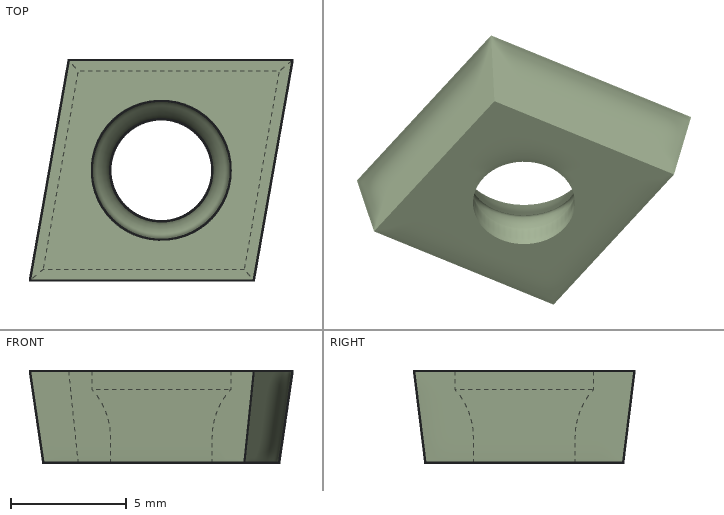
import cadquery as cq
import math

inscribed_diameter = 9.525
thickness = 3.97
corner_angle = math.radians(80)
relief_angle_deg = 7

mouth_diameter = 6.0
bore_diameter = 4.4
mouth_depth = 0.8
seat_radius = 3.0

side_length = inscribed_diameter / math.sin(corner_angle)
half_height = inscribed_diameter / 2
half_lean = half_height / math.tan(corner_angle)


def make_body():
    """Rhombic block that narrows downwards by the relief angle on all four sides."""
    half_side = side_length / 2
    outline = [
        (-half_side - half_lean, -half_height),
        (half_side - half_lean, -half_height),
        (half_side + half_lean, half_height),
        (-half_side + half_lean, half_height),
    ]
    return (
        cq.Workplane("XY", origin=(0, 0, thickness))
        .polyline(outline)
        .close()
        .extrude(-thickness, taper=relief_angle_deg)
    )


def make_screw_hole():
    """Revolved hole whose seat bulges inwards and runs tangent into the bore."""
    mouth_radius = mouth_diameter / 2
    bore_radius = bore_diameter / 2
    mouth_bottom = thickness - mouth_depth
    arc_centre_reach = seat_radius - (mouth_radius - bore_radius)
    seat_height = math.sqrt(seat_radius**2 - arc_centre_reach**2)
    seat_bottom = mouth_bottom - seat_height
    return (
        cq.Workplane("XZ")
        .lineTo(bore_radius, 0)
        .lineTo(bore_radius, seat_bottom)
        .tangentArcPoint((mouth_radius, mouth_bottom), relative=False)
        .lineTo(mouth_radius, thickness)
        .lineTo(0, thickness)
        .close()
        .revolve(360, (0, 0), (0, 1))
    )


result = make_body().cut(make_screw_hole())